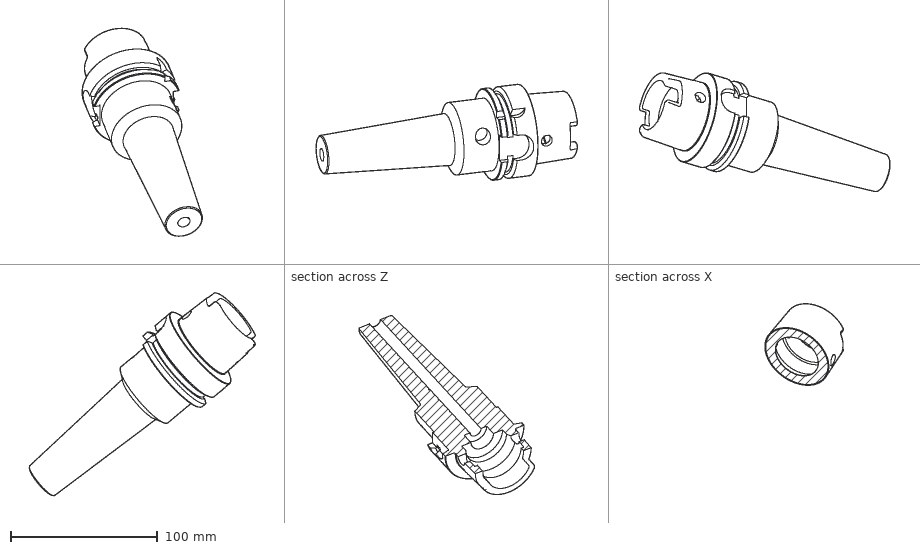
import cadquery as cq
total_length = 177.0

shank_length = 32.0
shank_end_radius = 23.0
shank_base_radius = 24.2
shank_end_round = 1.2
relief_start = 30.5
relief_end = 31.0
relief_radius = 23.7
shank_root_fillet = shank_length - relief_end

flange_radius = 31.5
flange_front_chamfer = 0.4
flange_back_chamfer = 0.5
flange_end = 58.0
groove_start = 48.3
groove_end = 52.2
groove_floor_radius = 26.9
groove_chamfer_radius = 28.7
groove_chamfer_length = 1.6

body_radius = 25.0
body_end = 83.2
nose_start = 87.3
nose_start_radius = 17.9
nose_tip_radius = 13.3
nose_tip_chamfer = 0.7

mouth_radius = 17.3
mouth_depth = 13.1
recess_radius = 19.5
recess_end = 24.0
bore_floor_radius = 16.1
recess_cone_length = 6.2
bore_floor = 35.4
coolant_seat_radius = 8.8
coolant_seat_depth = 8.8
through_hole_radius = 4.2

clearance = 3.5

drive_slot_half_width = 6.2
drive_slot_edge_round = 3.0
drive_slot_land = 20.9
drive_slot_floor_fillet = 1.2
front_drive_slot_depth = 9.5
back_drive_slot_depth = 6.0

cross_hole_x = 23.4
cross_hole_radius = 3.9

keyway_half_width = 9.2
keyway_end_flat = 0.9
keyway_floor = 26.0
keyway_floor_start = 37.0
keyway_rim_start = 35.4

notch_corner = 20.0
notch_cutter_radius = 8.0
notch_runout_x = 44.8

side_hole_x = 69.0
side_hole_z = 8.5
side_hole_radius = 5.3
side_hole_depth = 8.8


def turned_body():
    profile = (
        cq.Workplane("XY")
        .moveTo(0, 0)
        .lineTo(0, shank_end_radius)
        .lineTo(relief_start, shank_base_radius)
        .lineTo(relief_start, relief_radius)
        .lineTo(relief_end, relief_radius)
        .lineTo(relief_end, shank_base_radius)
        .radiusArc((shank_length, shank_base_radius + shank_root_fillet), -shank_root_fillet)
        .lineTo(shank_length, flange_radius - flange_front_chamfer)
        .lineTo(shank_length + flange_front_chamfer, flange_radius)
        .lineTo(groove_start - groove_chamfer_length, flange_radius)
        .lineTo(groove_start, groove_chamfer_radius)
        .lineTo(groove_start, groove_floor_radius)
        .lineTo(groove_end, groove_floor_radius)
        .lineTo(groove_end, groove_chamfer_radius)
        .lineTo(groove_end + groove_chamfer_length, flange_radius)
        .lineTo(flange_end - flange_back_chamfer, flange_radius)
        .lineTo(flange_end, flange_radius - flange_back_chamfer)
        .lineTo(flange_end, body_radius)
        .lineTo(body_end, body_radius)
        .lineTo(nose_start, nose_start_radius)
        .lineTo(total_length - nose_tip_chamfer, nose_tip_radius)
        .lineTo(total_length, nose_tip_radius - nose_tip_chamfer)
        .lineTo(total_length, 0)
        .close()
    )
    return profile.revolve(360, (0, 0, 0), (1, 0, 0))


def axial_bores():
    coolant_seat_end = bore_floor + coolant_seat_depth
    profile = (
        cq.Workplane("XY")
        .moveTo(0, 0)
        .lineTo(0, mouth_radius)
        .lineTo(mouth_depth, mouth_radius)
        .lineTo(mouth_depth, recess_radius)
        .lineTo(recess_end, recess_radius)
        .lineTo(recess_end + recess_cone_length, bore_floor_radius)
        .lineTo(bore_floor, bore_floor_radius)
        .lineTo(bore_floor, coolant_seat_radius)
        .lineTo(coolant_seat_end, coolant_seat_radius)
        .lineTo(coolant_seat_end, through_hole_radius)
        .lineTo(total_length, through_hole_radius)
        .lineTo(total_length, 0)
        .close()
    )
    return profile.revolve(360, (0, 0, 0), (1, 0, 0))


def drive_slot(depth):
    """Slot on the +Y side whose long edges are rounded over onto a flat land."""
    land_start = drive_slot_half_width + drive_slot_edge_round
    round_start = drive_slot_land - drive_slot_edge_round
    outer = shank_base_radius + clearance
    cutter = (
        cq.Workplane("YZ")
        .moveTo(0, -drive_slot_half_width)
        .lineTo(round_start, -drive_slot_half_width)
        .radiusArc((drive_slot_land, -land_start), drive_slot_edge_round)
        .lineTo(drive_slot_land, -outer)
        .lineTo(outer, -outer)
        .lineTo(outer, outer)
        .lineTo(drive_slot_land, outer)
        .lineTo(drive_slot_land, land_start)
        .radiusArc((round_start, drive_slot_half_width), drive_slot_edge_round)
        .lineTo(0, drive_slot_half_width)
        .close()
        .extrude(depth)
    )
    return cutter.faces(">X").edges().fillet(drive_slot_floor_fillet)


def keyway_outline(start, height):
    """Round-ended outline at the given height above the axis, on the +Y side."""
    corner = keyway_half_width - keyway_end_flat
    return (
        cq.Workplane("XZ", origin=(0, height, 0))
        .moveTo(flange_end, -keyway_half_width)
        .lineTo(start + corner, -keyway_half_width)
        .radiusArc((start, -keyway_end_flat), corner)
        .lineTo(start, keyway_end_flat)
        .radiusArc((start + corner, keyway_half_width), corner)
        .lineTo(flange_end, keyway_half_width)
        .close()
        .wires()
        .val()
    )


def keyway():
    floor = keyway_outline(keyway_floor_start, keyway_floor)
    rim = keyway_outline(keyway_rim_start, flange_radius)
    return cq.Workplane(cq.Solid.makeLoft([floor, rim], True))


def orientation_notch():
    length = flange_end - notch_runout_x
    straight = cq.Workplane("XY").box(length, flange_radius, flange_radius, centered=False)
    straight = straight.translate((notch_runout_x, notch_corner, notch_corner))
    runout = (
        cq.Workplane("XZ", origin=(0, notch_corner, 0))
        .center(notch_runout_x, notch_corner + notch_cutter_radius)
        .circle(notch_cutter_radius)
        .extrude(-flange_radius)
    )
    return straight.union(runout)


def side_hole():
    return (
        cq.Workplane("XZ", origin=(0, body_radius - side_hole_depth, 0))
        .center(side_hole_x, side_hole_z)
        .circle(side_hole_radius)
        .extrude(-side_hole_depth - clearance)
    )


def cross_hole():
    return (
        cq.Workplane("XZ")
        .center(cross_hole_x, 0)
        .circle(cross_hole_radius)
        .extrude(shank_base_radius + clearance, both=True)
    )


result = turned_body()
result = result.cut(drive_slot(back_drive_slot_depth))
result = result.cut(drive_slot(front_drive_slot_depth).mirror("XZ"))
result = result.faces("<X").edges().fillet(shank_end_round)
result = result.cut(axial_bores())
result = result.cut(cross_hole())
result = result.cut(keyway())
result = result.cut(keyway().mirror("XZ"))
result = result.cut(orientation_notch())
result = result.cut(side_hole())